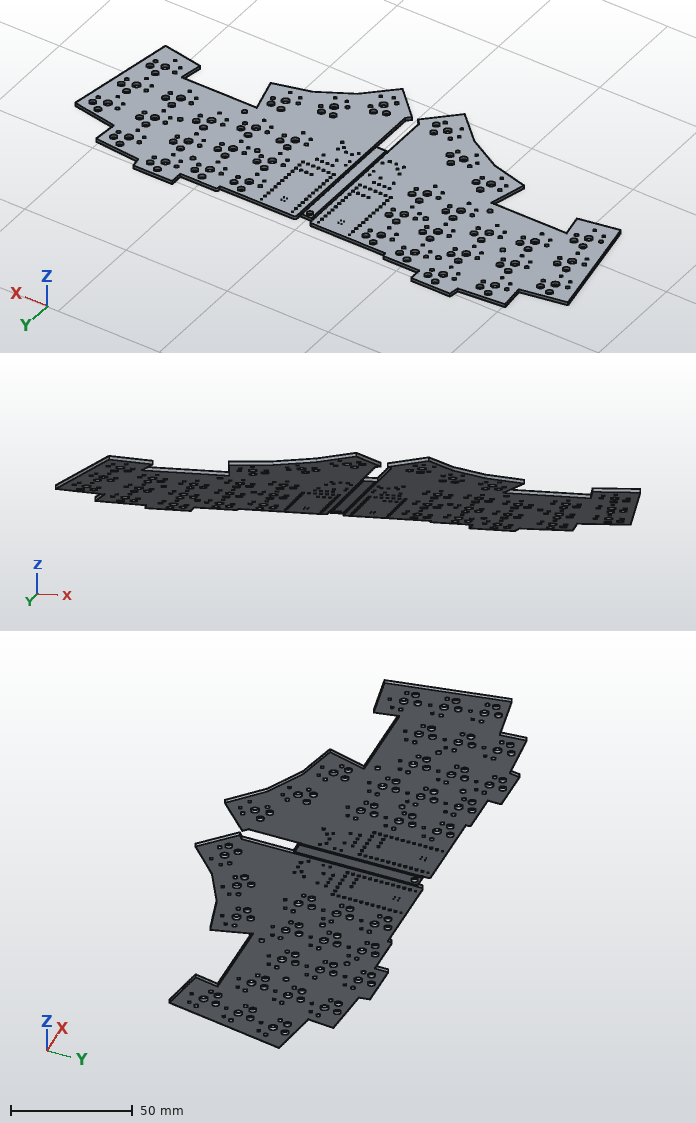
import cadquery as cq
import math


THICKNESS = 1.6
WIDTH = 243.52
DEPTH = 104.77
HALF_WIDTH = WIDTH / 2
HALF_DEPTH = DEPTH / 2

COLUMN_PITCH = 18.0
ROW_PITCH = 17.0
ROWS = 3
REAR_MARGIN = 9.355
SIDE_MARGIN = 9.6
MIDDLE_X = 68.62
MIDDLE_REAR_Y = HALF_DEPTH
INDEX_SETBACK = 6.01
INNER_SETBACK = 8.03
INDEX_REAR_Y = MIDDLE_REAR_Y - INDEX_SETBACK
INNER_REAR_Y = MIDDLE_REAR_Y - INNER_SETBACK

COLUMNS = [
    (MIDDLE_X - 2 * COLUMN_PITCH, INNER_REAR_Y - REAR_MARGIN, 0.0),
    (MIDDLE_X - COLUMN_PITCH, INDEX_REAR_Y - REAR_MARGIN, 0.0),
    (MIDDLE_X, MIDDLE_REAR_Y - REAR_MARGIN, 0.0),
    (90.48, 37.34, 5.0),
    (110.56, 22.9, 10.0),
]
THUMB_KEYS = [
    (50.76, -18.94, 15.0),
    (32.0, -26.75, 30.0),
    (15.86, -39.1, 45.0),
]

SWITCH_HOLES = [
    (0.0, 0.0, 3.43),
    (0.0, 5.9, 3.0),
    (5.0, 3.8, 3.0),
    (-5.5, 0.0, 1.7),
    (5.5, 0.0, 1.7),
    (0.0, -5.9, 1.27),
    (-5.0, -3.8, 1.27),
]

INNER_EDGE_X = 3.45
INDEX_STEP_X = 40.8
CORNER_RADIUS = 1.0
FRONT_EDGE_Y = -8.44
FINGER_EDGE = [
    (78.95, 47.72),
    (101.08, 45.78),
    (100.07, 34.2),
    (HALF_WIDTH, 30.35),
    (112.5, -22.55),
    (93.1, -19.07),
    (95.1, FRONT_EDGE_Y),
]
THUMB_EDGE = [
    (58.0, FRONT_EDGE_Y),
    (62.6, -25.57),
    (45.05, -30.18),
    (28.9, -39.31),
    (15.35, -HALF_DEPTH),
    (1.45, -38.6),
    (INNER_EDGE_X, -36.7),
]

MOUNT_DIAMETER = 2.2
MOUNT_X = 60.65
MOUNT_Y = 15.6
MOUNT_RADIUS = 19.05
MOUNT_DIRECTIONS = [(1, 0), (0, 1), (-1, 0), (0, -1)]

CONTROLLER_X = 14.08
PIN_PITCH = 2.54
PIN_ROWS = 13
PIN_GAPS = 6
PIN_FRONT_Y = 11.66
PIN_DIAMETER = 1.09
END_PIN_DIAMETER = 0.6
EXTRA_PINS = 3
EXTRA_PIN_Y = PIN_FRONT_Y + 2 * PIN_PITCH
VIA_DIAMETER = 0.15
VIA_X_SPACING = 1.5
VIA_Y_SPACING = 2.0
VIA_Y = 36.8

DISPLAY_PINS = 4
DISPLAY_Y = 6.92
DISPLAY_DIAMETER = 1.0
BUTTON_SPACING = 6.5
BUTTON_Y = 2.93
BUTTON_DIAMETER = 1.0

BATTERY_DIAMETER = 0.8
BATTERY_PINS = [(5.87, 3.67), (5.87, 0.73)]
JACK_DIAMETER = 1.0
JACK_REAR_Y = -3.67
JACK_MIDDLE_Y = -5.87
JACK_FRONT_Y = -8.44
JACK_PINS = [
    (-15.77, JACK_REAR_Y),
    (-13.2, JACK_MIDDLE_Y),
    (-5.87, JACK_MIDDLE_Y),
    (-14.75, JACK_FRONT_Y),
    (-10.95, JACK_FRONT_Y),
    (7.7, JACK_REAR_Y),
    (10.64, JACK_REAR_Y),
    (14.67, JACK_REAR_Y),
    (5.87, JACK_MIDDLE_Y),
    (13.2, JACK_MIDDLE_Y),
]
JACK_PEG_DIAMETER = 1.3
JACK_PEGS = [(-7.79, JACK_FRONT_Y), (15.77, JACK_FRONT_Y)]

STRIP_HALF_WIDTH = 2.5
STRIP_REAR_Y = 41.4
STRIP_FRONT_Y = -13.6
BRIDGE = 0.5
STRIP_HOLE_Y = 38.87
STRIP_HOLE_DIAMETER = 2.7


def half_board():
    """Plate of the positive-X board, without holes."""
    middle_inner_x = MIDDLE_X - SIDE_MARGIN
    middle_outer_x = MIDDLE_X + SIDE_MARGIN
    rear_edge = [
        (INNER_EDGE_X, INNER_REAR_Y),
        (INDEX_STEP_X, INNER_REAR_Y),
        (INDEX_STEP_X, INDEX_REAR_Y),
        (middle_inner_x, INDEX_REAR_Y),
        (middle_inner_x, MIDDLE_REAR_Y),
        (middle_outer_x, MIDDLE_REAR_Y),
    ]
    outline = rear_edge + FINGER_EDGE + THUMB_EDGE
    board = cq.Workplane("XY").polyline(outline).close().extrude(THICKNESS)
    for x, y in [(INNER_EDGE_X, INNER_REAR_Y), (INDEX_STEP_X, INDEX_REAR_Y)]:
        corner = cq.selectors.NearestToPointSelector((x, y, THICKNESS / 2))
        board = board.edges("|Z").edges(corner).fillet(CORNER_RADIUS)
    return board


def break_away_strip():
    """Bar between the boards, parted from each by a slot that is bridged at both ends."""
    length = STRIP_REAR_Y - STRIP_FRONT_Y
    centre_y = (STRIP_REAR_Y + STRIP_FRONT_Y) / 2
    slot_x = (INNER_EDGE_X + STRIP_HALF_WIDTH) / 2
    slot_width = INNER_EDGE_X - STRIP_HALF_WIDTH
    bar = cq.Workplane("XY").center(0, centre_y).rect(2 * INNER_EDGE_X, length).extrude(THICKNESS)
    slots = (
        cq.Workplane("XY")
        .pushPoints([(-slot_x, centre_y), (slot_x, centre_y)])
        .rect(slot_width, length - 2 * BRIDGE)
        .extrude(THICKNESS)
    )
    return bar.cut(slots)




def pin_row(centre_x, y, count, pitch, diameter):
    """Evenly spaced holes along X, centred on centre_x."""
    first_x = centre_x - pitch * (count - 1) / 2
    return [(first_x + i * pitch, y, diameter) for i in range(count)]


def key_centres():
    """Centre and turn of every key on the positive-X board."""
    keys = list(THUMB_KEYS)
    for x, y, splay in COLUMNS:
        step_x = ROW_PITCH * math.sin(math.radians(splay))
        step_y = ROW_PITCH * math.cos(math.radians(splay))
        for row in range(ROWS):
            keys.append((x - row * step_x, y - row * step_y, -splay))
    return keys


def switch_holes(side):
    """Keys mirror between the boards, but the footprint itself is only turned."""
    holes = []
    for x, y, turn in key_centres():
        cosine = math.cos(math.radians(side * turn))
        sine = math.sin(math.radians(side * turn))
        for hole_x, hole_y, diameter in SWITCH_HOLES:
            turned_x = hole_x * cosine - hole_y * sine
            turned_y = hole_x * sine + hole_y * cosine
            holes.append((side * x + turned_x, y + turned_y, diameter))
    return holes


def mount_holes(side):
    return [
        (side * (MOUNT_X + MOUNT_RADIUS * dx), MOUNT_Y + MOUNT_RADIUS * dy, MOUNT_DIAMETER)
        for dx, dy in MOUNT_DIRECTIONS
    ]


def controller_holes(side):
    centre_x = side * CONTROLLER_X
    holes = []
    for row in range(1, PIN_ROWS):
        diameter = END_PIN_DIAMETER if row == PIN_ROWS - 1 else PIN_DIAMETER
        y = PIN_FRONT_Y + row * PIN_PITCH
        holes += pin_row(centre_x, y, 2, PIN_GAPS * PIN_PITCH, diameter)
    holes += pin_row(centre_x, PIN_FRONT_Y, PIN_GAPS + 1, PIN_PITCH, PIN_DIAMETER)
    extra_centre_x = centre_x + PIN_PITCH * (EXTRA_PINS - 1) / 2
    holes += pin_row(extra_centre_x, EXTRA_PIN_Y, EXTRA_PINS, PIN_PITCH, PIN_DIAMETER)
    for y in (VIA_Y - VIA_Y_SPACING / 2, VIA_Y + VIA_Y_SPACING / 2):
        holes += pin_row(centre_x, y, 2, VIA_X_SPACING, VIA_DIAMETER)
    return holes


def display_and_button_holes(side):
    centre_x = side * CONTROLLER_X
    display = pin_row(centre_x, DISPLAY_Y, DISPLAY_PINS, PIN_PITCH, DISPLAY_DIAMETER)
    button = pin_row(centre_x, BUTTON_Y, 2, BUTTON_SPACING, BUTTON_DIAMETER)
    return display + button


def battery_holes(side):
    return [(side * x, y, BATTERY_DIAMETER) for x, y in BATTERY_PINS]


def jack_holes():
    """The jack is placed differently on the two boards, so nothing mirrors here."""
    pins = [(x, y, JACK_DIAMETER) for x, y in JACK_PINS]
    pegs = [(x, y, JACK_PEG_DIAMETER) for x, y in JACK_PEGS]
    return pins + pegs


def all_holes():
    holes = [(0.0, STRIP_HOLE_Y, STRIP_HOLE_DIAMETER)] + jack_holes()
    for side in (-1, 1):
        holes += switch_holes(side)
        holes += mount_holes(side)
        holes += controller_holes(side)
        holes += display_and_button_holes(side)
        holes += battery_holes(side)
    return holes


def drill(plate, holes):
    """Cut every hole through the plate, one diameter at a time."""
    for diameter in sorted({hole[2] for hole in holes}):
        points = [(x, y) for x, y, hole_diameter in holes if hole_diameter == diameter]
        drills = cq.Workplane("XY").pushPoints(points).circle(diameter / 2).extrude(THICKNESS)
        plate = plate.cut(drills)
    return plate


right_board = half_board()
left_board = right_board.mirror("YZ")
panel = right_board.union(left_board).union(break_away_strip())
result = drill(panel, all_holes())